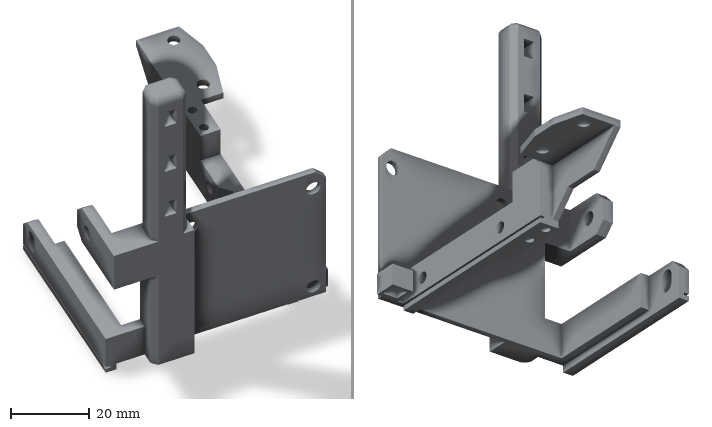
import cadquery as cq


LENGTH = 94.3
HEIGHT = 96.0
COLUMN_DEPTH = 8.0
PLATE_THICKNESS = 1.7
PLATE_BOTTOM = 2.0
PLATE_TOP = 46.0
PLATE_FRONT = 11.0
PLATE_BACK = 62.9
COLUMN_BACK = 22.8
CORNER_CHAMFER = 3.0
PLATE_HOLE_DIAMETER = 4.0
PLATE_HOLES = [(24.6, 40.4), (59.3, 40.4), (59.3, 5.5)]

TOWER_WIDTH = 10.1
TOWER_CHAMFER = 1.5
TOWER_FILLET = 2.0
WINDOW_WIDTH = 3.2
WINDOW_HEIGHT = 5.1
WINDOW_PITCH = 16.0
WINDOW_COUNT = 3
TOP_WINDOW_DROP = 7.3

ARM_THICKNESS = 3.1
EAR_HEIGHT = 12.0
EAR_REACH = 14.4
EAR_HOLE_DIAMETER = 4.0
EAR_HOLE_INSET = 6.3

FRONT_ARM_REACH = 47.3
FRONT_ARM_HEIGHT = 12.0
FRONT_ARM_ROOT = 3.0
SLOT_WIDTH = 4.0
SLOT_LENGTH = 6.4
SLOT_Z = 7.2
RIB_REACH = 34.4
RIB_THICKNESS = 2.7

REAR_ARM_BACK = 56.0
REAR_ARM_HEIGHT = 11.0
HEAVY_THICKNESS = 5.8
HEAVY_END_X = -36.5
TAPER_LENGTH = 2.8
ARM_HOLE_DIAMETER = 3.4
ARM_HOLE_Z = 6.0
ARM_HOLES_X = [-42.0, -8.3]

PLATFORM_LENGTH = 27.0
PLATFORM_TOP = 19.8
PLATFORM_THICKNESS = 2.0
PLATFORM_SHOULDER_Y = 62.3
PLATFORM_PEAK_Y = 65.0
PEAK_START = 9.0
PEAK_END = 17.0
PLATFORM_HOLE_DIAMETER = 3.4
PLATFORM_HOLE_Y = 58.95
PLATFORM_HOLES_AT = [4.1, 22.0]
BLOCK_LENGTH = 12.0
BLOCK_HOLE_DIAMETER = 2.5
BLOCK_HOLE_Y = 52.4
BLOCK_HOLE_COUNT = 2
BLOCK_HOLE_INSET = 2.5
BLOCK_HOLE_PITCH = 7.0
WEB_THICKNESS = 1.8
WEB_BOTTOM = 8.7

GROOVE_BOTTOM = 1.3
GROOVE_DEPTH = 1.4

SOCKET_LENGTH = 6.7
SOCKET_WIDTH = 6.4
SOCKET_HEIGHT = 6.05
SOCKET_FRONT = 57.9
SOCKET_OPENING_X = 4.0
SOCKET_OPENING_Y = 4.4

FREE_END = COLUMN_DEPTH - LENGTH
REAR_ARM_FRONT = REAR_ARM_BACK - HEAVY_THICKNESS
BLOCK_START = FREE_END + PLATFORM_LENGTH
BLOCK_END = BLOCK_START + BLOCK_LENGTH
EAR_BOTTOM = PLATE_TOP - EAR_HEIGHT


def box(x, y, z):
    """Box spanning the given (low, high) pair along each axis."""
    size = [high - low for low, high in (x, y, z)]
    return cq.Workplane("XY").box(*size, centered=False).translate((x[0], y[0], z[0]))


def cylinder_x(diameter, y, z, x):
    """Cylinder along X, spanning the (low, high) pair x."""
    start = cq.Workplane("YZ", origin=(x[0], 0, 0)).center(y, z)
    return start.circle(diameter / 2).extrude(x[1] - x[0])


def cylinder_y(diameter, x, z, y):
    """Cylinder along Y, spanning the (low, high) pair y."""
    start = cq.Workplane("XZ", origin=(0, y[0], 0)).center(x, z)
    return start.circle(diameter / 2).extrude(y[0] - y[1])


def cylinder_z(diameter, x, y, z):
    """Cylinder along Z, spanning the (low, high) pair z."""
    start = cq.Workplane("XY", origin=(0, 0, z[0])).center(x, y)
    return start.circle(diameter / 2).extrude(z[1] - z[0])


def make_plate():
    plate = box((0, PLATE_THICKNESS), (PLATE_FRONT, PLATE_BACK), (PLATE_BOTTOM, PLATE_TOP))
    plate = plate.edges("|X and >Y and >Z").chamfer(CORNER_CHAMFER)
    for y, z in PLATE_HOLES:
        plate = plate.cut(cylinder_x(PLATE_HOLE_DIAMETER, y, z, (0, PLATE_THICKNESS)))
    return plate


def make_column():
    column = box((0, COLUMN_DEPTH), (PLATE_FRONT, COLUMN_BACK), (PLATE_BOTTOM, PLATE_TOP))
    return column.edges("|Z and >X and <Y").chamfer(TOWER_CHAMFER)


def make_tower():
    y_range = (PLATE_FRONT, PLATE_FRONT + TOWER_WIDTH)
    tower = box((0, COLUMN_DEPTH), y_range, (PLATE_TOP, HEIGHT))
    tower = tower.edges("|Z").chamfer(TOWER_CHAMFER)
    tower = tower.faces(">Z").edges().fillet(TOWER_FILLET)
    middle = PLATE_FRONT + TOWER_WIDTH / 2
    window_y = (middle - WINDOW_WIDTH / 2, middle + WINDOW_WIDTH / 2)
    for i in range(WINDOW_COUNT):
        z = HEIGHT - TOP_WINDOW_DROP - i * WINDOW_PITCH
        window_z = (z - WINDOW_HEIGHT / 2, z + WINDOW_HEIGHT / 2)
        tower = tower.cut(box((0, COLUMN_DEPTH), window_y, window_z))
    return tower


def make_ear():
    z_range = (EAR_BOTTOM, PLATE_TOP)
    ear = box((-EAR_REACH, COLUMN_DEPTH), (0, ARM_THICKNESS), z_range)
    ear = ear.edges("|Y and <X").chamfer(CORNER_CHAMFER)
    hole_z = (EAR_BOTTOM + PLATE_TOP) / 2
    hole_x = EAR_HOLE_INSET - EAR_REACH
    ear = ear.cut(cylinder_y(EAR_HOLE_DIAMETER, hole_x, hole_z, (0, ARM_THICKNESS)))
    return ear.union(box((0, COLUMN_DEPTH), (0, COLUMN_BACK), z_range))


def make_front_arm():
    x_range = (-FRONT_ARM_REACH, FRONT_ARM_ROOT)
    arm = box(x_range, (0, ARM_THICKNESS), (0, FRONT_ARM_HEIGHT))
    arm = arm.edges("|Y and <X and >Z").chamfer(CORNER_CHAMFER)
    arm = arm.cut(box(x_range, (0, GROOVE_DEPTH), (GROOVE_BOTTOM, PLATE_BOTTOM)))
    slot = cq.Workplane("XZ").center(ARM_HOLES_X[0], SLOT_Z).slot2D(SLOT_LENGTH, SLOT_WIDTH, 90)
    arm = arm.cut(slot.extrude(-ARM_THICKNESS))
    z_range = (PLATE_BOTTOM, FRONT_ARM_HEIGHT)
    rib = box((-RIB_REACH, 0), (ARM_THICKNESS, ARM_THICKNESS + RIB_THICKNESS), z_range)
    root = box((0, FRONT_ARM_ROOT), (ARM_THICKNESS, PLATE_FRONT), z_range)
    return arm.union(rib).union(root)


def make_rear_arm():
    thin_front = REAR_ARM_BACK - ARM_THICKNESS
    outline = [
        (BLOCK_START, REAR_ARM_BACK),
        (BLOCK_START, REAR_ARM_FRONT),
        (HEAVY_END_X, REAR_ARM_FRONT),
        (HEAVY_END_X + TAPER_LENGTH, thin_front),
        (0, thin_front),
        (0, REAR_ARM_BACK),
    ]
    arm = cq.Workplane("XY").polyline(outline).close().extrude(REAR_ARM_HEIGHT)
    y_range = (REAR_ARM_FRONT, REAR_ARM_BACK)
    arm = arm.union(box((BLOCK_START, BLOCK_END), y_range, (0, PLATFORM_TOP)))
    groove_y = (REAR_ARM_BACK - GROOVE_DEPTH, REAR_ARM_BACK)
    arm = arm.cut(box((BLOCK_START, 0), groove_y, (GROOVE_BOTTOM, PLATE_BOTTOM)))
    for x in ARM_HOLES_X:
        arm = arm.cut(cylinder_y(ARM_HOLE_DIAMETER, x, ARM_HOLE_Z, y_range))
    for i in range(BLOCK_HOLE_COUNT):
        x = BLOCK_END - BLOCK_HOLE_INSET - i * BLOCK_HOLE_PITCH
        arm = arm.cut(cylinder_z(BLOCK_HOLE_DIAMETER, x, BLOCK_HOLE_Y, (0, PLATFORM_TOP)))
    return arm


def make_platform():
    underside = PLATFORM_TOP - PLATFORM_THICKNESS
    outline = [
        (FREE_END, REAR_ARM_FRONT),
        (BLOCK_START, REAR_ARM_FRONT),
        (BLOCK_START, PLATFORM_SHOULDER_Y),
        (FREE_END + PEAK_END, PLATFORM_PEAK_Y),
        (FREE_END + PEAK_START, PLATFORM_PEAK_Y),
        (FREE_END, PLATFORM_SHOULDER_Y),
    ]
    plate = cq.Workplane("XY", origin=(0, 0, underside)).polyline(outline).close()
    plate = plate.extrude(PLATFORM_THICKNESS)
    for offset in PLATFORM_HOLES_AT:
        x = FREE_END + offset
        z_range = (underside, PLATFORM_TOP)
        plate = plate.cut(cylinder_z(PLATFORM_HOLE_DIAMETER, x, PLATFORM_HOLE_Y, z_range))

    web_outline = [
        (FREE_END, underside),
        (FREE_END + underside - WEB_BOTTOM, WEB_BOTTOM),
        (BLOCK_START - (WEB_BOTTOM - PLATE_BOTTOM), WEB_BOTTOM),
        (BLOCK_START, PLATE_BOTTOM),
        (BLOCK_START, underside),
    ]
    web = cq.Workplane("XZ", origin=(0, REAR_ARM_FRONT, 0)).polyline(web_outline).close()
    return plate.union(web.extrude(-WEB_THICKNESS))


def make_socket():
    z_range = (PLATE_BOTTOM, PLATE_BOTTOM + SOCKET_HEIGHT)
    socket = box((-SOCKET_LENGTH, 0), (SOCKET_FRONT, SOCKET_FRONT + SOCKET_WIDTH), z_range)
    wall_x = (SOCKET_LENGTH - SOCKET_OPENING_X) / 2
    wall_y = (SOCKET_WIDTH - SOCKET_OPENING_Y) / 2
    opening_x = (wall_x - SOCKET_LENGTH, -wall_x)
    opening_y = (SOCKET_FRONT + wall_y, SOCKET_FRONT + SOCKET_WIDTH - wall_y)
    return socket.cut(box(opening_x, opening_y, z_range))


result = make_plate()
for feature in (
    make_column(),
    make_tower(),
    make_ear(),
    make_front_arm(),
    make_rear_arm(),
    make_platform(),
    make_socket(),
):
    result = result.union(feature)